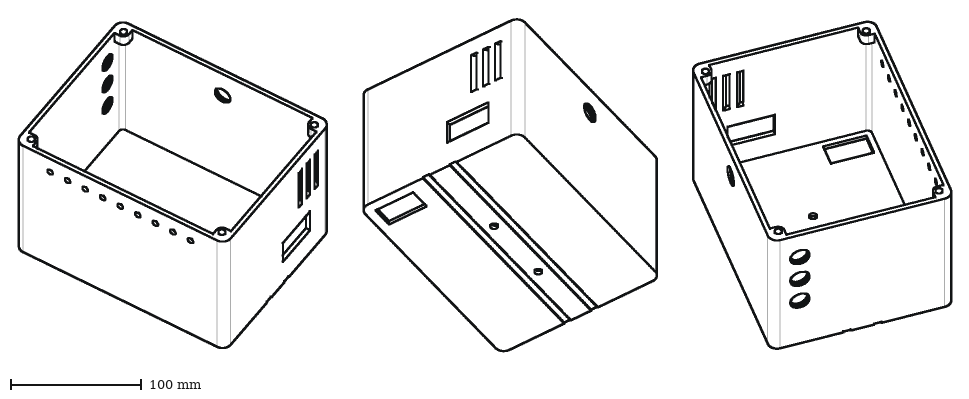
import cadquery as cq

length = 192.0
width = 148.0
height = 124.0
wall = 3.8
base_thickness = 3.6
outer_radius = 7.5
inner_radius = outer_radius - wall

boss_size = 10.0
boss_height = 10.0
boss_radius = boss_size / 2
boss_hole_diameter = 5.5
boss_hole_inset = 9.0

indicator_count = 9
indicator_row_length = 128.0
indicator_diameter = 5.0
indicator_drop = 15.4

connector_diameter = 14.0
connector_rim_diameter = 15.4
connector_rim_depth = wall / 2
connector_drop = 25.2
connector_count = 3
connector_pitch = 25.0
connector_y = 50.5

slot_count = 3
slot_pitch = 11.1
slot_width = 5.0
slot_slant = 3.6
slot_height = 39.5
slot_drop = 16.7
first_slot_y = 60.0

window_width = 38.4
window_height = 21.9
window_bottom = 26.0
window_y_max = 45.3

mount_diameter = 6.0
mount_pitch = 60.0
mount_center_x = -8.0
hatch_length = 18.5
hatch_width = 35.0
hatch_x_min = 69.0
hatch_y_min = -65.3

groove_width = 6.0
groove_depth = 1.0
groove_pitch = 25.0


def rounded_block(size_x, size_y, size_z, radius):
    """Block centred on X and Y, standing on Z = 0, with rounded upright edges."""
    block = cq.Workplane("XY").box(size_x, size_y, size_z, centered=(True, True, False))
    return block.edges("|Z").fillet(radius)


def box_at(corner, size):
    """Block with its lowest corner at the given point."""
    return cq.Workplane("XY").box(*size, centered=False).translate(corner)


def cylinder(origin, direction, diameter, depth):
    """Round cutter starting at origin and running along direction."""
    plane = cq.Plane(origin=origin, normal=direction)
    return cq.Workplane(plane).circle(diameter / 2).extrude(depth)


def connector_cutter(origin, inward):
    """Connector hole through a wall with a wider rim at the outer face."""
    hole = cylinder(origin, inward, connector_diameter, wall)
    rim = cylinder(origin, inward, connector_rim_diameter, connector_rim_depth)
    return hole.union(rim)


def corner_boss(side_x, side_y):
    """Boss in one inner corner; the edge facing the box centre is rounded."""
    overlap = wall / 2
    block_size = boss_size + overlap
    center_x = side_x * (length / 2 - overlap - block_size / 2)
    center_y = side_y * (width / 2 - overlap - block_size / 2)
    block = cq.Workplane("XY").box(block_size, block_size, boss_height, centered=(True, True, False))
    inner_edge = block.edges("|Z").edges("<X" if side_x > 0 else ">X").edges("<Y" if side_y > 0 else ">Y")
    boss = inner_edge.fillet(boss_radius)
    boss = boss.translate((center_x, center_y, height - boss_height))
    return boss.intersect(rounded_block(length, width, height, outer_radius))


def slot_cutter(y_max):
    """Upright slot that slants towards -Y on its way out through the +X wall."""
    inner_x = length / 2 - wall
    outer_x = length / 2
    outline = [
        (inner_x, y_max),
        (inner_x, y_max - slot_width),
        (outer_x, y_max - slot_width - slot_slant),
        (outer_x, y_max - slot_slant),
    ]
    bottom = height - slot_drop - slot_height
    return cq.Workplane("XY").workplane(offset=bottom).polyline(outline).close().extrude(slot_height)


cavity = rounded_block(length - 2 * wall, width - 2 * wall, height - base_thickness, inner_radius)
result = rounded_block(length, width, height, outer_radius)
result = result.cut(cavity.translate((0, 0, base_thickness)))

for side_x in (-1, 1):
    for side_y in (-1, 1):
        result = result.union(corner_boss(side_x, side_y))
        hole_x = side_x * (length / 2 - boss_hole_inset)
        hole_y = side_y * (width / 2 - boss_hole_inset)
        hole_top = (hole_x, hole_y, height)
        result = result.cut(cylinder(hole_top, (0, 0, -1), boss_hole_diameter, boss_height))

indicator_pitch = indicator_row_length / (indicator_count - 1)
for i in range(indicator_count):
    x = i * indicator_pitch - indicator_row_length / 2
    start = (x, -width / 2, height - indicator_drop)
    result = result.cut(cylinder(start, (0, 1, 0), indicator_diameter, wall))

for i in range(connector_count):
    z = height - connector_drop - i * connector_pitch
    result = result.cut(connector_cutter((-length / 2, connector_y, z), (1, 0, 0)))
result = result.cut(connector_cutter((0, width / 2, height - connector_drop), (0, -1, 0)))

for i in range(slot_count):
    result = result.cut(slot_cutter(first_slot_y - i * slot_pitch))
window_corner = (length / 2 - wall, window_y_max - window_width, window_bottom)
result = result.cut(box_at(window_corner, (wall, window_width, window_height)))

for side in (-1, 1):
    mount_start = (mount_center_x + side * mount_pitch / 2, 0, 0)
    result = result.cut(cylinder(mount_start, (0, 0, 1), mount_diameter, base_thickness))
    groove_corner = (-length / 2, side * groove_pitch / 2 - groove_width / 2, 0)
    result = result.cut(box_at(groove_corner, (length, groove_width, groove_depth)))
hatch_corner = (hatch_x_min, hatch_y_min, 0)
result = result.cut(box_at(hatch_corner, (hatch_length, hatch_width, base_thickness)))